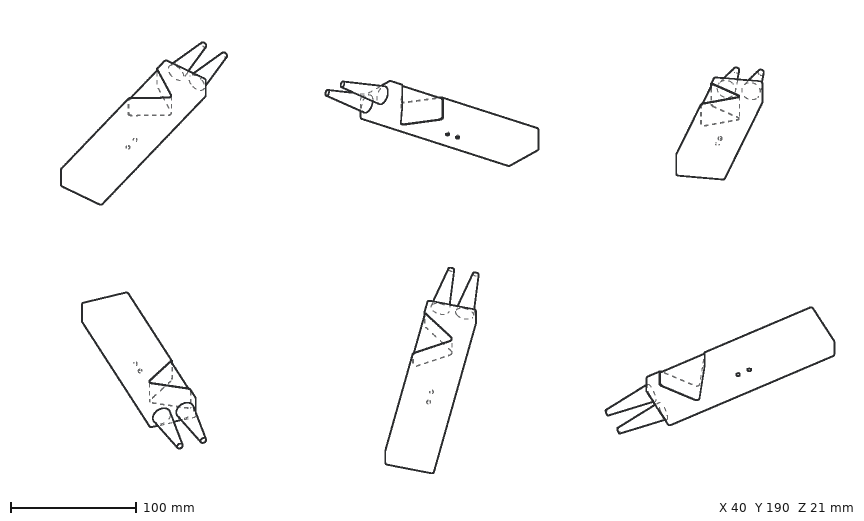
import cadquery as cq
import math

TOTAL_LENGTH = 190.0
PRONG_LENGTH = 39.9
HOUSING_WIDTH = 40.0
HOUSING_HEIGHT = HOUSING_WIDTH / 2
HOUSING_LENGTH = TOTAL_LENGTH - PRONG_LENGTH
HOUSING_FILLET = 2.0

PRONG_BASE_DIAMETER = 15.0
PRONG_TIP_DIAMETER = 5.0
PRONG_SPACING = HOUSING_WIDTH / 2
PRONG_TIP_DROP = 1.7

BUTTON_WIDTH = 40.8
BUTTON_START = 96.7
BUTTON_FLANK_ANGLE = 35.0
BUTTON_APEX_RADIUS = 2.5
BUTTON_INSET = 0.5
BUTTON_FILLET = 2.5

LAMP_DIAMETER = 3.0
LAMP_PROTRUSION = 1.0
FIRST_LAMP_Y = 67.0
LAMP_SPACING = 10.0
LAMP_COUNT = 2


def rounded_block(inset, fillet):
    """The housing's outer block, shrunk by the inset on its X and Z sides."""
    block = cq.Workplane("XY").box(HOUSING_WIDTH - 2 * inset, HOUSING_LENGTH, HOUSING_HEIGHT - 2 * inset)
    return block.translate((0, HOUSING_LENGTH / 2, 0)).edges().fillet(fillet)


def make_button_prism():
    """Triangular prism with a rounded apex, spanning the full housing height."""
    side_x = -HOUSING_WIDTH / 2
    depth = BUTTON_WIDTH / 2 / math.tan(math.radians(BUTTON_FLANK_ANGLE))
    prism = (
        cq.Workplane("XY")
        .moveTo(side_x, BUTTON_START)
        .lineTo(side_x + depth, BUTTON_START + BUTTON_WIDTH / 2)
        .lineTo(side_x, BUTTON_START + BUTTON_WIDTH)
        .close()
        .extrude(HOUSING_HEIGHT / 2, both=True)
    )
    return prism.edges("|Z and >X").fillet(BUTTON_APEX_RADIUS)


def make_button():
    """Button: the part of the slightly smaller block that lies in the triangle."""
    return rounded_block(BUTTON_INSET, BUTTON_FILLET).intersect(make_button_prism())


def make_lamp(y):
    """Ball sunk into the underside, with only its lowest part exposed."""
    center_z = -HOUSING_HEIGHT / 2 - LAMP_PROTRUSION + LAMP_DIAMETER / 2
    return cq.Workplane("XY").sphere(LAMP_DIAMETER / 2).translate((0, y, center_z))


def make_prong(x):
    """Oblique cone from the +Y face of the housing to a smaller, lower tip."""
    base_plane = cq.Plane(origin=(x, HOUSING_LENGTH, 0), xDir=(1, 0, 0), normal=(0, 1, 0))
    return (
        cq.Workplane(base_plane)
        .circle(PRONG_BASE_DIAMETER / 2)
        .workplane(offset=PRONG_LENGTH)
        .center(0, PRONG_TIP_DROP)
        .circle(PRONG_TIP_DIAMETER / 2)
        .loft(ruled=True)
    )


def make_housing(lamps):
    """Rounded block with a triangular cutout and a socket for each lamp."""
    housing = rounded_block(0, HOUSING_FILLET).cut(make_button_prism())
    for lamp in lamps:
        housing = housing.cut(lamp)
    return housing


lamps = [make_lamp(FIRST_LAMP_Y + i * LAMP_SPACING) for i in range(LAMP_COUNT)]
prongs = [make_prong(side * PRONG_SPACING / 2) for side in (-1, 1)]
button = make_button()
housing = make_housing(lamps)

result = cq.Compound.makeCompound(
    [housing.val(), button.val()]
    + [prong.val() for prong in prongs]
    + [lamp.val() for lamp in lamps]
)